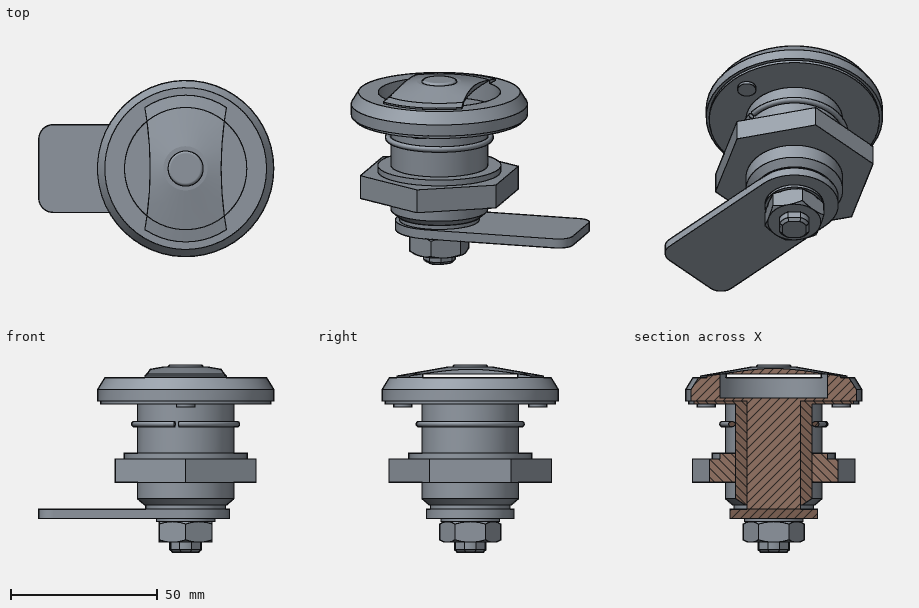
import cadquery as cq
import math


KNOB_R = 30.0
KNOB_HEIGHT = 8.0
KNOB_BEVEL_HEIGHT = 4.1
KNOB_BEVEL_WIDTH = 2.5
CUP_R = 20.8
CUP_DEPTH = 7.0
HANDLE_R = 25.0
HANDLE_CREST = 11.6
HANDLE_CREST_R = 7.5
HANDLE_SLOPE = 10.0
HANDLE_WAIST = 12.1
HANDLE_SIDE_R = 120.0
FINGER_GAP = 1.2
BUTTON_R = 6.0
BUTTON_HEIGHT = 0.7
BUTTON_ROUND = 1.0
STEM_R = 13.6
SHAFT_R = 5.4
SHAFT_FLATS = 10.0
SHAFT_CHAMFER = 1.0
SHAFT_END = -51.4

FLANGE_R = 29.0
FLANGE_THICKNESS = 1.0
PEG_R = 3.1
PEG_OFFSET = 23.0
PEG_HEIGHT = 1.0
BARREL_R = 16.5
BARREL_END = -35.4
BARREL_CHAMFER_HEIGHT = 2.2
BARREL_CHAMFER_WIDTH = 2.5

RING_WIRE_R = 1.0
RING_Z = -7.8
RING_GAP_CENTER = 260.1
RING_GAP = 4.9

MOUNT_NUT_FLATS = 48.0
MOUNT_NUT_TOP = -19.7
MOUNT_NUT_HEIGHT = 8.0
COLLAR_R = 21.0
COLLAR_HEIGHT = 2.0

CAM_TOP = -36.8
CAM_THICKNESS = 3.2
CAM_REACH = 50.0
CAM_HALF_WIDTH = 15.0
CAM_CORNER_R = 5.0
WASHER_R = 10.0
WASHER_THICKNESS = 1.0
CLAMP_NUT_FLATS = 18.0
CLAMP_NUT_HEIGHT = 7.0
CLAMP_NUT_CHAMFER = 30.0

CAM_BOTTOM = CAM_TOP - CAM_THICKNESS
WASHER_BOTTOM = CAM_BOTTOM - WASHER_THICKNESS
CLAMP_NUT_BOTTOM = WASHER_BOTTOM - CLAMP_NUT_HEIGHT

HEX_SIDES = 6
HEX_HALF_ANGLE = 30.0
SHAFT_FLAT_ANGLE = 45.0


def hex_corner_radius(flats):
    return flats / 2 / math.cos(math.radians(HEX_HALF_ANGLE))


def cylinder(radius, bottom, top):
    return cq.Workplane("XY").workplane(offset=bottom).circle(radius).extrude(top - bottom)


def revolved(profile):
    """Turn a closed (radius, z) outline about the Z axis."""
    return cq.Workplane("XZ").polyline(profile).close().revolve(360, (0, 0, 0), (0, 1, 0))


def hexagon(flats, bottom, top):
    """Hexagonal prism with two corners on the Y axis."""
    corner_diameter = 2 * hex_corner_radius(flats)
    base = cq.Workplane("XY").workplane(offset=bottom)
    prism = base.polygon(HEX_SIDES, corner_diameter).extrude(top - bottom)
    return prism.rotate((0, 0, 0), (0, 0, 1), HEX_HALF_ANGLE)


def squared_shaft(bottom, top):
    """Round bar with four flats facing the diagonals."""
    height = top - bottom
    square = cq.Workplane("XY").workplane(offset=bottom).rect(SHAFT_FLATS, SHAFT_FLATS).extrude(height)
    return cylinder(SHAFT_R, bottom, top).intersect(square.rotate((0, 0, 0), (0, 0, 1), SHAFT_FLAT_ANGLE))


def make_handle():
    """Conical bridge over the cup, standing on the knob's top face outside the cup."""
    rim_z = HANDLE_CREST - (HANDLE_R - HANDLE_CREST_R) * math.tan(math.radians(HANDLE_SLOPE))
    underside = KNOB_HEIGHT + FINGER_GAP
    dome = revolved([
        (0, underside),
        (CUP_R, underside),
        (CUP_R, KNOB_HEIGHT),
        (HANDLE_R, KNOB_HEIGHT),
        (HANDLE_R, rim_z),
        (HANDLE_CREST_R, HANDLE_CREST),
        (0, HANDLE_CREST),
    ])
    side_center = HANDLE_WAIST + HANDLE_SIDE_R
    side_cutter = cylinder(HANDLE_SIDE_R, KNOB_HEIGHT, HANDLE_CREST)
    for side in (-1, 1):
        dome = dome.cut(side_cutter.translate((side * side_center, 0, 0)))
    button = cylinder(BUTTON_R, underside, HANDLE_CREST + BUTTON_HEIGHT)
    return dome.union(button.faces(">Z").edges().fillet(BUTTON_ROUND))


def make_knob():
    cup_floor = KNOB_HEIGHT - CUP_DEPTH
    body = revolved([
        (0, CAM_TOP),
        (STEM_R, CAM_TOP),
        (STEM_R, 0),
        (KNOB_R, 0),
        (KNOB_R, KNOB_HEIGHT - KNOB_BEVEL_HEIGHT),
        (KNOB_R - KNOB_BEVEL_WIDTH, KNOB_HEIGHT),
        (CUP_R, KNOB_HEIGHT),
        (CUP_R, cup_floor),
        (0, cup_floor),
    ])
    shaft = squared_shaft(SHAFT_END, CAM_TOP).faces("<Z").chamfer(SHAFT_CHAMFER)
    return body.union(shaft).union(make_handle())


def make_housing():
    body = revolved([
        (STEM_R, 0),
        (FLANGE_R, 0),
        (FLANGE_R, -FLANGE_THICKNESS),
        (BARREL_R, -FLANGE_THICKNESS),
        (BARREL_R, BARREL_END + BARREL_CHAMFER_HEIGHT),
        (BARREL_R - BARREL_CHAMFER_WIDTH, BARREL_END),
        (STEM_R, BARREL_END),
    ])
    peg = cylinder(PEG_R, -FLANGE_THICKNESS - PEG_HEIGHT, -FLANGE_THICKNESS)
    for side in (-1, 1):
        body = body.union(peg.translate((0, side * PEG_OFFSET, 0)))
    return body


def make_split_ring():
    """Round wire ring that touches the barrel, open at one gap."""
    center_r = BARREL_R + RING_WIRE_R
    wire = cq.Workplane("XZ").center(center_r, RING_Z).circle(RING_WIRE_R)
    ring = wire.revolve(360 - RING_GAP, (-center_r, 0, 0), (-center_r, -1, 0))
    return ring.rotate((0, 0, 0), (0, 0, 1), RING_GAP_CENTER - RING_GAP / 2)


def make_mounting_nut():
    bottom = MOUNT_NUT_TOP - MOUNT_NUT_HEIGHT
    top = MOUNT_NUT_TOP + COLLAR_HEIGHT
    nut = hexagon(MOUNT_NUT_FLATS, bottom, MOUNT_NUT_TOP).union(cylinder(COLLAR_R, MOUNT_NUT_TOP, top))
    return nut.cut(cylinder(BARREL_R, bottom, top))


def make_cam():
    """Flat arm towards -X, rounded about the shaft."""
    arm = (
        cq.Workplane("XY")
        .workplane(offset=CAM_BOTTOM)
        .moveTo(0, CAM_HALF_WIDTH)
        .lineTo(-CAM_REACH, CAM_HALF_WIDTH)
        .lineTo(-CAM_REACH, -CAM_HALF_WIDTH)
        .lineTo(0, -CAM_HALF_WIDTH)
        .threePointArc((CAM_HALF_WIDTH, 0), (0, CAM_HALF_WIDTH))
        .close()
        .extrude(CAM_THICKNESS)
    )
    arm = arm.edges("|Z and <X").fillet(CAM_CORNER_R)
    return arm.cut(squared_shaft(CAM_BOTTOM, CAM_TOP))


def make_washer():
    return cylinder(WASHER_R, WASHER_BOTTOM, CAM_BOTTOM).cut(squared_shaft(WASHER_BOTTOM, CAM_BOTTOM))


def make_clamp_nut():
    """Hexagon nut with its corners turned off by a cone at both ends."""
    face_r = CLAMP_NUT_FLATS / 2
    corner_r = hex_corner_radius(CLAMP_NUT_FLATS)
    corner_drop = (corner_r - face_r) * math.tan(math.radians(CLAMP_NUT_CHAMFER))
    turned = revolved([
        (0, CLAMP_NUT_BOTTOM),
        (face_r, CLAMP_NUT_BOTTOM),
        (corner_r, CLAMP_NUT_BOTTOM + corner_drop),
        (corner_r, WASHER_BOTTOM - corner_drop),
        (face_r, WASHER_BOTTOM),
        (0, WASHER_BOTTOM),
    ])
    nut = hexagon(CLAMP_NUT_FLATS, CLAMP_NUT_BOTTOM, WASHER_BOTTOM).intersect(turned)
    return nut.cut(squared_shaft(CLAMP_NUT_BOTTOM, WASHER_BOTTOM))


knob = make_knob()
housing = make_housing()
split_ring = make_split_ring()
mounting_nut = make_mounting_nut()
cam = make_cam()
washer = make_washer()
clamp_nut = make_clamp_nut()

result = cq.Compound.makeCompound([
    knob.solids().val(),
    housing.solids().val(),
    split_ring.solids().val(),
    mounting_nut.solids().val(),
    cam.solids().val(),
    washer.solids().val(),
    clamp_nut.solids().val(),
])